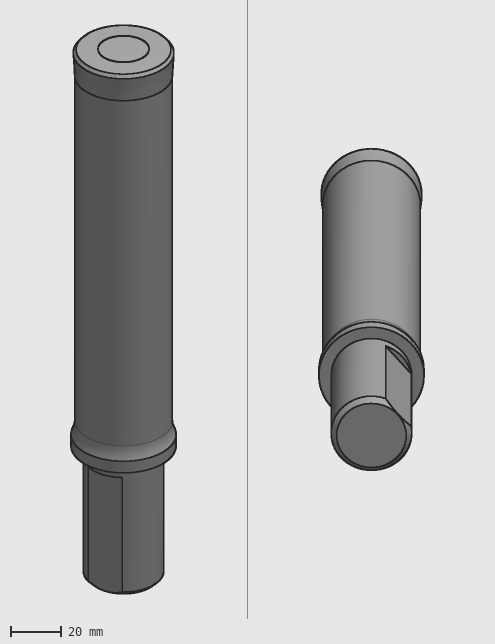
import cadquery as cq
import math

total_height = 245.0
post_diameter = 39.0

shank_diameter = 32.0
shank_length = 60.5
shank_chamfer = 2.2
flat_width = 15.7
flat_length = 55.4

flange_diameter = 42.0
flange_thickness = 5.5
flare_height = 6.4

cap_height = 12.5
cap_rim_diameter = 40.2
cap_edge_height = 1.5
cap_edge_width = 1.2
cap_crown = 0.5
disc_diameter = 20.3
disc_step = 0.2
disc_dome = 0.12

post_radius = post_diameter / 2
shank_radius = shank_diameter / 2
flat_distance = math.sqrt(shank_radius**2 - (flat_width / 2) ** 2)
flange_radius = flange_diameter / 2
flange_top = shank_length + flange_thickness
flare_top = flange_top + flare_height
flare_spread = flange_radius - post_radius
flare_arc_radius = (flare_spread**2 + flare_height**2) / (2 * flare_spread)
cap_bottom = total_height - cap_height
cap_rim_radius = cap_rim_diameter / 2
cap_edge_bottom = total_height - cap_crown - cap_edge_height
cap_top_radius = cap_rim_radius - cap_edge_width
disc_radius = disc_diameter / 2
disc_edge = total_height - disc_dome
disc_base = disc_edge - disc_step
disc_dome_radius = (disc_radius**2 + disc_dome**2) / (2 * disc_dome)


def revolve_profile(profile):
    """Close a radius-height outline and turn it about the Z axis."""
    return profile.close().revolve(360, (0, 0, 0), (0, 1, 0))


def flare_midpoint():
    """Middle of the concave flare arc, which leaves the post wall tangentially."""
    half_angle = math.asin(flare_height / flare_arc_radius) / 2
    radius = post_radius + flare_arc_radius * (1 - math.cos(half_angle))
    height = flare_top - flare_arc_radius * math.sin(half_angle)
    return radius, height


def disc_dome_midpoint():
    """Middle of the shallow dome arc from the edge of the disc to its center."""
    half_angle = math.asin(disc_radius / disc_dome_radius) / 2
    radius = disc_dome_radius * math.sin(half_angle)
    height = total_height - disc_dome_radius * (1 - math.cos(half_angle))
    return radius, height


def cut_shank_flat(body):
    """Cut the flat on the -Y side of the shank, open at its lower end."""
    cutter = cq.Workplane("XY").box(
        shank_diameter, shank_radius, flat_length, centered=(True, False, False)
    )
    return body.cut(cutter.translate((0, -flat_distance - shank_radius, 0)))


def make_post():
    """Solid post with a chamfered shank, a flange and a flare above the flange."""
    profile = (
        cq.Workplane("XZ")
        .lineTo(shank_radius - shank_chamfer, 0)
        .lineTo(shank_radius, shank_chamfer)
        .lineTo(shank_radius, shank_length)
        .lineTo(flange_radius, shank_length)
        .lineTo(flange_radius, flange_top)
        .threePointArc(flare_midpoint(), (post_radius, flare_top))
        .lineTo(post_radius, cap_bottom)
        .lineTo(0, cap_bottom)
    )
    return cut_shank_flat(revolve_profile(profile))


def make_cap():
    """Cap that widens to a chamfered rim, with a slightly conical crown and a raised domed disc."""
    profile = (
        cq.Workplane("XZ")
        .moveTo(0, cap_bottom)
        .lineTo(post_radius, cap_bottom)
        .lineTo(cap_rim_radius, cap_edge_bottom)
        .lineTo(cap_top_radius, total_height - cap_crown)
        .lineTo(disc_radius, disc_base)
        .lineTo(disc_radius, disc_edge)
        .threePointArc(disc_dome_midpoint(), (0, total_height))
    )
    return revolve_profile(profile)


post = make_post()
cap = make_cap()
result = cq.Compound.makeCompound([post.val(), cap.val()])